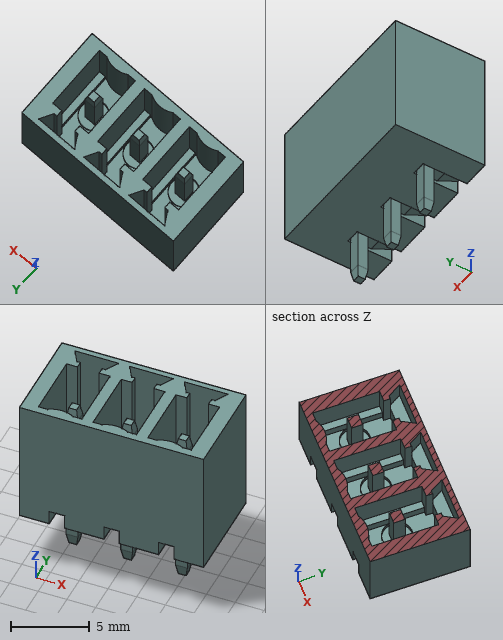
import cadquery as cq

length = 12.83
width = 6.86
height = 9.15
overall_height = 12.7
pitch = 3.81
pole_positions = [-pitch, 0.0, pitch]
pin_y = -0.59

cavity_width = 3.03
cavity_length = 4.55
cavity_front = -width / 2 + 0.54
cavity_back = cavity_front + cavity_length
ledge_depth = 6.42
floor_depth = 6.99
floor_width = 2.01
rib_height = 0.25
rib_radius = 1.75

recess_diameter = floor_width
recess_depth = 0.26

dovetail_back = width / 2 - 0.4
dovetail_length = 0.9
dovetail_front = dovetail_back - dovetail_length
dovetail_back_width = 3.04
dovetail_front_width = floor_width
dovetail_depth = 5.9
neck_width = 1.51

pin_x_size = 0.83
pin_y_size = 0.8
pin_tip_size = 0.54
pin_taper = 0.8
pin_top = height - 1.28
pin_bottom = height - overall_height

notch_width = 1.05
notch_front_height = 1.04
notch_back_height = 0.25
notch_slope_end = -width / 2 + 1.59
notch_back = pin_y + notch_width / 2


def prism(x_size, y_start, y_end, depth):
    """Cut tool reaching the given depth below the top face."""
    return (
        cq.Workplane("XY")
        .box(x_size, y_end - y_start, depth, centered=(True, False, False))
        .translate((0, y_start, height - depth))
    )


def cavity():
    upper = prism(cavity_width, cavity_front, cavity_back, ledge_depth)
    lower = prism(floor_width, cavity_front, cavity_back, floor_depth)
    neck = prism(neck_width, cavity_back, dovetail_front, floor_depth)
    rib = (
        cq.Workplane("XY")
        .center(0, cavity_front + rib_height - rib_radius)
        .circle(rib_radius)
        .extrude(height)
    )
    recess = (
        cq.Workplane("XY", origin=(0, pin_y, height - floor_depth - recess_depth))
        .circle(recess_diameter / 2)
        .extrude(floor_depth)
    )
    return upper.union(lower).cut(rib).union(neck).union(recess)


def dovetail():
    return (
        cq.Workplane("XY", origin=(0, 0, height - dovetail_depth))
        .polyline([
            (-dovetail_back_width / 2, dovetail_back),
            (dovetail_back_width / 2, dovetail_back),
            (dovetail_front_width / 2, dovetail_front),
            (-dovetail_front_width / 2, dovetail_front),
        ])
        .close()
        .extrude(dovetail_depth)
    )


def notch():
    front = -width / 2
    return (
        cq.Workplane("YZ")
        .polyline([
            (front, 0),
            (front, notch_front_height),
            (notch_slope_end, notch_back_height),
            (notch_back, notch_back_height),
            (notch_back, 0),
        ])
        .close()
        .extrude(notch_width / 2, both=True)
    )


def pin_tip(base_z, end_z):
    return (
        cq.Workplane("XY", origin=(0, pin_y, base_z))
        .rect(pin_x_size, pin_y_size)
        .workplane(offset=end_z - base_z)
        .rect(pin_tip_size, pin_tip_size)
        .loft(ruled=True)
    )


def pin():
    shank_bottom = pin_bottom + pin_taper
    shank_top = pin_top - pin_taper
    shank = (
        cq.Workplane("XY", origin=(0, pin_y, shank_bottom))
        .rect(pin_x_size, pin_y_size)
        .extrude(shank_top - shank_bottom)
    )
    return shank.union(pin_tip(shank_top, pin_top)).union(pin_tip(shank_bottom, pin_bottom))


result = cq.Workplane("XY").box(length, width, height, centered=(True, True, False))
pole_cut = cavity().union(dovetail()).union(notch())
for x in pole_positions:
    result = result.cut(pole_cut.translate((x, 0, 0)))
    result = result.union(pin().translate((x, 0, 0)))